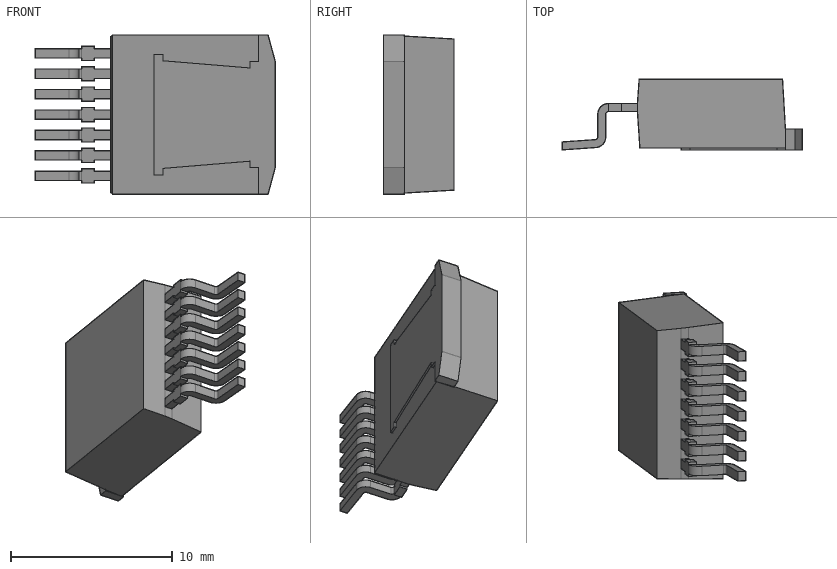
import cadquery as cq
import math


LENGTH = 14.9
DEPTH = 4.4
WIDTH = 9.9

LEAD_COUNT = 7
LEAD_PITCH = 1.27
LEAD_WIDTH = 0.6
LEAD_THICKNESS = 0.5
LEAD_TOP_Y = 2.89
LEAD_BOTTOM_Y = LEAD_TOP_Y - LEAD_THICKNESS
LEG_X = 2.2
BEND_INNER_RADIUS = 0.16
BEND_OUTER_RADIUS = BEND_INNER_RADIUS + LEAD_THICKNESS
FOOT_ANGLE = math.radians(4)
PAD_START_X = LEG_X + BEND_OUTER_RADIUS
PAD_LENGTH = 0.8
PAD_WIDTH = 0.9

HOUSING_FRONT_Y = 0.12
PARTING_X = 4.66
LEAD_WALL_FRONT_X = 4.81
LEAD_WALL_BACK_X = 4.77
TAB_WALL_X = 13.85
TAB_WALL_BACK_X = 13.68
BACK_WIDTH = 9.39

TAB_THICKNESS = 1.31
HEAD_X = 7.38
HEAD_END_X = 7.94
HEAD_WIDTH = 7.48
NECK_WIDE_WIDTH = 6.68
NECK_NARROW_WIDTH = 5.78
SHOULDER_X = 13.34
SHOULDER_WIDTH = 6.59
BEVEL_X = 14.45
FREE_EDGE_WIDTH = 6.59


def make_tab():
    """Flat slab: a dovetailed anchor in the housing and a bevelled free end."""
    upper_half = [
        (HEAD_X, HEAD_WIDTH / 2),
        (HEAD_END_X, HEAD_WIDTH / 2),
        (HEAD_END_X, NECK_WIDE_WIDTH / 2),
        (SHOULDER_X, NECK_NARROW_WIDTH / 2),
        (SHOULDER_X, SHOULDER_WIDTH / 2),
        (TAB_WALL_X, SHOULDER_WIDTH / 2),
        (TAB_WALL_X, WIDTH / 2),
        (BEVEL_X, WIDTH / 2),
        (LENGTH, FREE_EDGE_WIDTH / 2),
    ]
    lower_half = [(x, -z) for x, z in reversed(upper_half)]
    outline = cq.Workplane("XZ").polyline(upper_half + lower_half).close()
    return outline.extrude(-TAB_THICKNESS)


def make_housing(tab):
    """Drafted block with a pocket that holds the tab."""
    side_outline = [
        (LEAD_WALL_FRONT_X, HOUSING_FRONT_Y),
        (PARTING_X, LEAD_BOTTOM_Y),
        (PARTING_X, LEAD_TOP_Y),
        (LEAD_WALL_BACK_X, DEPTH),
        (TAB_WALL_BACK_X, DEPTH),
        (TAB_WALL_X, TAB_THICKNESS),
        (TAB_WALL_X, HOUSING_FRONT_Y),
    ]
    block = cq.Workplane("XY").polyline(side_outline).close().extrude(WIDTH / 2, both=True)

    draft_outline = [
        (HOUSING_FRONT_Y, -WIDTH / 2),
        (DEPTH, -BACK_WIDTH / 2),
        (DEPTH, BACK_WIDTH / 2),
        (HOUSING_FRONT_Y, WIDTH / 2),
    ]
    draft = cq.Workplane("YZ").polyline(draft_outline).close().extrude(LENGTH)
    return block.intersect(draft).cut(tab)


def make_lead(center_z):
    """Gull-wing lead with a wider pad on its upper run."""
    sin_foot = math.sin(FOOT_ANGLE)
    cos_foot = math.cos(FOOT_ANGLE)
    lower_middle = -(math.pi / 2 - FOOT_ANGLE) / 2
    upper_middle = math.radians(135)

    upper_center = (PAD_START_X, LEAD_TOP_Y - BEND_OUTER_RADIUS)
    lower_center_x = LEG_X - BEND_INNER_RADIUS
    lower_center_y = (lower_center_x * sin_foot + BEND_OUTER_RADIUS) / cos_foot
    lower_center = (lower_center_x, lower_center_y)

    def on_bend(center, radius, angle):
        return (center[0] + radius * math.cos(angle), center[1] + radius * math.sin(angle))

    foot_side = FOOT_ANGLE - math.pi / 2
    foot_top_start = (0, LEAD_THICKNESS / cos_foot)
    strip = (
        cq.Workplane("XY", origin=(0, 0, center_z))
        .moveTo(0, 0)
        .lineTo(*on_bend(lower_center, BEND_OUTER_RADIUS, foot_side))
        .threePointArc(
            on_bend(lower_center, BEND_OUTER_RADIUS, lower_middle),
            on_bend(lower_center, BEND_OUTER_RADIUS, 0),
        )
        .lineTo(*on_bend(upper_center, BEND_INNER_RADIUS, math.pi))
        .threePointArc(
            on_bend(upper_center, BEND_INNER_RADIUS, upper_middle),
            on_bend(upper_center, BEND_INNER_RADIUS, math.pi / 2),
        )
        .lineTo(PARTING_X, LEAD_BOTTOM_Y)
        .lineTo(PARTING_X, LEAD_TOP_Y)
        .lineTo(PAD_START_X, LEAD_TOP_Y)
        .threePointArc(
            on_bend(upper_center, BEND_OUTER_RADIUS, upper_middle),
            on_bend(upper_center, BEND_OUTER_RADIUS, math.pi),
        )
        .lineTo(*on_bend(lower_center, BEND_INNER_RADIUS, 0))
        .threePointArc(
            on_bend(lower_center, BEND_INNER_RADIUS, lower_middle),
            on_bend(lower_center, BEND_INNER_RADIUS, foot_side),
        )
        .lineTo(*foot_top_start)
        .close()
        .extrude(LEAD_WIDTH / 2, both=True)
    )

    pad = cq.Workplane("XY").box(PAD_LENGTH, LEAD_THICKNESS, PAD_WIDTH, centered=(False, False, True))
    return strip.union(pad.translate((PAD_START_X, LEAD_BOTTOM_Y, center_z)))


tab = make_tab()
housing = make_housing(tab)

first_lead_z = -LEAD_PITCH * (LEAD_COUNT - 1) / 2
leads = [make_lead(first_lead_z + i * LEAD_PITCH) for i in range(LEAD_COUNT)]

result = cq.Compound.makeCompound([housing.val(), tab.val(), *[lead.val() for lead in leads]])